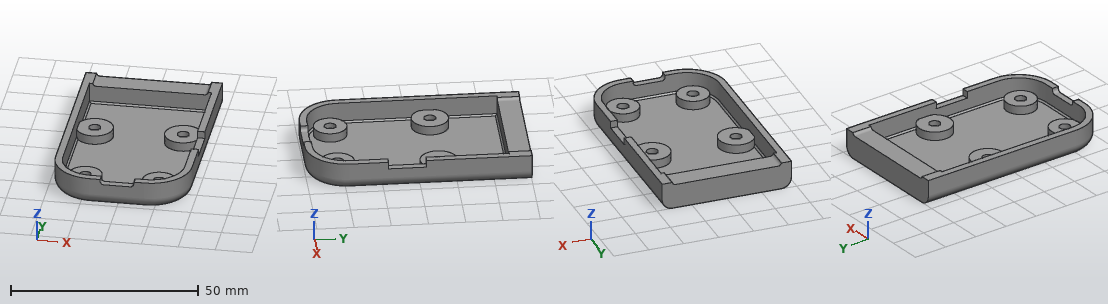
import cadquery as cq

length = 60.0
width = 37.0
height = 7.8
corner_radius = 11.05
bottom_fillet = 3.0

wall = 2.0
rear_wall = 6.0
floor = 2.0
floor_chamfer = 0.5

boss_height = 2.5
hole_diameter = 3.2
counterbore_diameter = 6.0
counterbore_depth = 3.0
rear_boss_diameter = 10.0
rear_boss_x = 12.0
rear_boss_y = 5.5
front_boss_diameter = 9.0
front_boss_x = 10.0
front_boss_y = -21.5

notch_fillet = 1.0
rear_notch_width = 31.3
rear_notch_depth = 0.8
front_notch_width = 9.1
front_notch_depth = 1.5
side_notch_length = 10.2
side_notch_center_y = -3.5
side_notch_depth = 2.0

front_y = -length / 2
rear_y = length / 2


def rounded_front_block(block_width, y_start, y_end, z_start, z_end, radius):
    """Upright block whose two vertical front edges are rounded."""
    return (
        cq.Workplane("XY", origin=(0, (y_start + y_end) / 2, z_start))
        .rect(block_width, y_end - y_start)
        .extrude(z_end - z_start)
        .edges("|Z and <Y")
        .fillet(radius)
    )


def make_shell():
    """Tray with a rounded underside along its front and both sides, flat at the rear."""
    body = rounded_front_block(width, front_y, rear_y, 0, height, corner_radius)
    return body.faces("<Z").edges("not >Y").fillet(bottom_fillet)


def make_cavity():
    """Space inside the walls, with its floor edges chamfered."""
    cavity = rounded_front_block(
        width - 2 * wall, front_y + wall, rear_y - rear_wall, floor, height, corner_radius - wall
    )
    return cavity.faces("<Z").edges().chamfer(floor_chamfer)


def cylinders(diameter, x, y, z, cylinder_height):
    """Pair of upright cylinders mirrored about the YZ plane."""
    return (
        cq.Workplane("XY", origin=(0, 0, z))
        .pushPoints([(-x, y), (x, y)])
        .circle(diameter / 2)
        .extrude(cylinder_height)
    )


def rim_notch(notch_width, depth, y_start, y_end):
    """Cutter for an opening along Y, with both bottom corners rounded."""
    cutter_height = depth + notch_fillet
    return (
        cq.Workplane("XY", origin=(0, (y_start + y_end) / 2, height - depth))
        .rect(notch_width, y_end - y_start)
        .extrude(cutter_height)
        .edges("|Y and <Z")
        .fillet(notch_fillet)
    )


cavity = make_cavity()
result = make_shell().cut(cavity)

for diameter, x, y in (
    (rear_boss_diameter, rear_boss_x, rear_boss_y),
    (front_boss_diameter, front_boss_x, front_boss_y),
):
    bosses = cylinders(diameter, x, y, floor, boss_height).intersect(cavity)
    result = result.union(bosses)
    result = result.cut(cylinders(hole_diameter, x, y, 0, height))
    result = result.cut(cylinders(counterbore_diameter, x, y, 0, counterbore_depth))

result = result.cut(rim_notch(rear_notch_width, rear_notch_depth, rear_y - rear_wall, rear_y))
result = result.cut(rim_notch(front_notch_width, front_notch_depth, front_y, front_y + wall))

side_notch = cq.Workplane("XY").box(
    wall, side_notch_length, side_notch_depth, centered=(False, True, False)
)
result = result.cut(
    side_notch.translate((width / 2 - wall, side_notch_center_y, height - side_notch_depth))
)